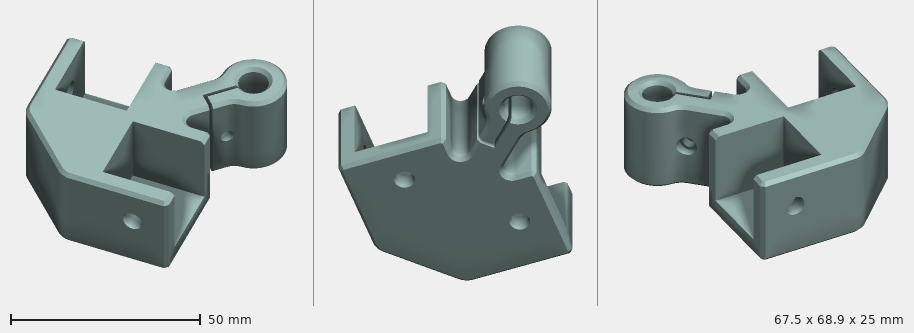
import cadquery as cq
import math

height = 25.0
edge_chamfer = 1.0
half_width = 67.51 / 2
front_half_width = 13.1
front_fillet = 5.25

pocket_size = 20.5
pocket_wall = 4.75
pocket_floor = 4.8

pocket_hole_diameter = 5.5
wall_hole_height = 15.0
wall_hole_depth = 10.0
floor_hole_depth = 9.57
floor_hole_offset = 15.4

ring_center_y = 60.0
ring_radius = 8.87
bore_radius = 4.05
arm_half_width = bore_radius + edge_chamfer
ring_fillet = 5.0
root_fillet = 2.5
slit_width = 1.0
slit_below_screw = 5.0

screw_diameter = 3.6
screw_head_diameter = 5.5
screw_head_depth = 2.5

diagonal = math.sqrt(0.5)
side_length = pocket_size + 2 * pocket_wall
side_corner_x = half_width + edge_chamfer * diagonal
side_corner_y = side_corner_x - front_half_width
shoulder_x = side_corner_x - side_length * diagonal
shoulder_y = side_corner_y + side_length * diagonal
arm_root_y = shoulder_y - (shoulder_x - arm_half_width)
fillet_start_below_ring = math.sqrt(
    (ring_radius + ring_fillet) ** 2 - (arm_half_width + ring_fillet) ** 2
)
screw_y = ring_center_y - fillet_start_below_ring


def make_profile():
    """Outline of the body, arm and ring, extruded to full height."""
    tangent_ratio = ring_radius / (ring_radius + ring_fillet)
    tangent_x = (arm_half_width + ring_fillet) * tangent_ratio
    tangent_y = ring_center_y - fillet_start_below_ring * tangent_ratio
    fillet_center_x = arm_half_width + ring_fillet
    half_angle = math.atan2(fillet_start_below_ring, fillet_center_x) / 2
    fillet_mid_x = fillet_center_x - ring_fillet * math.cos(half_angle)
    fillet_mid_y = screw_y + ring_fillet * math.sin(half_angle)
    ring_top = (0, ring_center_y + ring_radius)

    outline = (
        cq.Workplane("XY")
        .moveTo(-front_half_width, 0)
        .lineTo(front_half_width, 0)
        .lineTo(side_corner_x, side_corner_y)
        .lineTo(shoulder_x, shoulder_y)
        .lineTo(arm_half_width, arm_root_y)
        .lineTo(arm_half_width, screw_y)
        .threePointArc((fillet_mid_x, fillet_mid_y), (tangent_x, tangent_y))
        .threePointArc(ring_top, (-tangent_x, tangent_y))
        .threePointArc((-fillet_mid_x, fillet_mid_y), (-arm_half_width, screw_y))
        .lineTo(-arm_half_width, arm_root_y)
        .lineTo(-shoulder_x, shoulder_y)
        .lineTo(-side_corner_x, side_corner_y)
        .close()
    )
    return outline.extrude(height)


def edges_at(body, x, y):
    """The two upright edges at (x, y) and (-x, y)."""
    middle = height / 2
    right = cq.selectors.NearestToPointSelector((x, y, middle))
    left = cq.selectors.NearestToPointSelector((-x, y, middle))
    return body.edges("|Z").edges(right + left)


def finish_edges(body):
    """Round or chamfer the upright corners and chamfer both outer rims."""
    body = edges_at(body, front_half_width, 0).fillet(front_fillet)
    body = edges_at(body, arm_half_width, arm_root_y).fillet(root_fillet)
    body = edges_at(body, side_corner_x, side_corner_y).chamfer(edge_chamfer)
    body = edges_at(body, shoulder_x, shoulder_y).chamfer(edge_chamfer)
    return body.faces("<Z or >Z").edges().chamfer(edge_chamfer)


def make_bore():
    """Ring bore with a chamfer at both ends."""
    bore = cq.Workplane("XY").center(0, ring_center_y).circle(bore_radius).extrude(height)
    mouth_radius = bore_radius + edge_chamfer
    lower = cq.Solid.makeCone(mouth_radius, bore_radius, edge_chamfer)
    upper = cq.Solid.makeCone(bore_radius, mouth_radius, edge_chamfer)
    bore = bore.union(lower.moved(cq.Location((0, ring_center_y, 0))))
    return bore.union(upper.moved(cq.Location((0, ring_center_y, height - edge_chamfer))))


def make_slit():
    """L-shaped slit from the bore down the arm and out through its +X side."""
    slit_bottom = screw_y - slit_below_screw
    down = cq.Workplane("XY").box(
        slit_width, ring_center_y - slit_bottom, height, centered=False
    )
    across = cq.Workplane("XY").box(arm_half_width, slit_width, height, centered=False)
    return down.union(across).translate((0, slit_bottom, 0))


def make_screw_hole():
    """Clamp screw hole through the arm, with a head seat on the -X side."""
    axis = cq.Workplane("YZ").center(screw_y, height / 2)
    shank = axis.circle(screw_diameter / 2).extrude(ring_radius, both=True)
    head_seat_x = screw_head_depth - arm_half_width
    head = axis.workplane(offset=head_seat_x).circle(screw_head_diameter / 2).extrude(-ring_radius)
    return shank.union(head)


def make_left_pocket():
    """Left pocket and its two holes; local x runs inward, local y along the side face."""
    face = cq.Plane(
        origin=(-side_corner_x, side_corner_y, 0),
        xDir=(1, -1, 0),
        normal=(0, 0, 1),
    )
    pocket = (
        cq.Workplane(face)
        .workplane(offset=pocket_floor)
        .center(0, pocket_wall)
        .rect(pocket_size, pocket_size, centered=False)
        .extrude(height)
    )
    floor_hole = (
        cq.Workplane(face)
        .center(floor_hole_depth, floor_hole_offset)
        .circle(pocket_hole_diameter / 2)
        .extrude(height)
    )
    wall_face = cq.Plane(
        origin=(-side_corner_x, side_corner_y, 0),
        xDir=(1, -1, 0),
        normal=(1, 1, 0),
    )
    wall_hole = (
        cq.Workplane(wall_face)
        .center(wall_hole_depth, wall_hole_height * wall_face.yDir.z)
        .circle(pocket_hole_diameter / 2)
        .extrude(side_length / 2)
    )
    return pocket.union(floor_hole).union(wall_hole)


left_pocket = make_left_pocket()
right_pocket = left_pocket.mirror("YZ")

result = finish_edges(make_profile())
for cutter in (make_bore(), make_slit(), make_screw_hole(), left_pocket, right_pocket):
    result = result.cut(cutter)